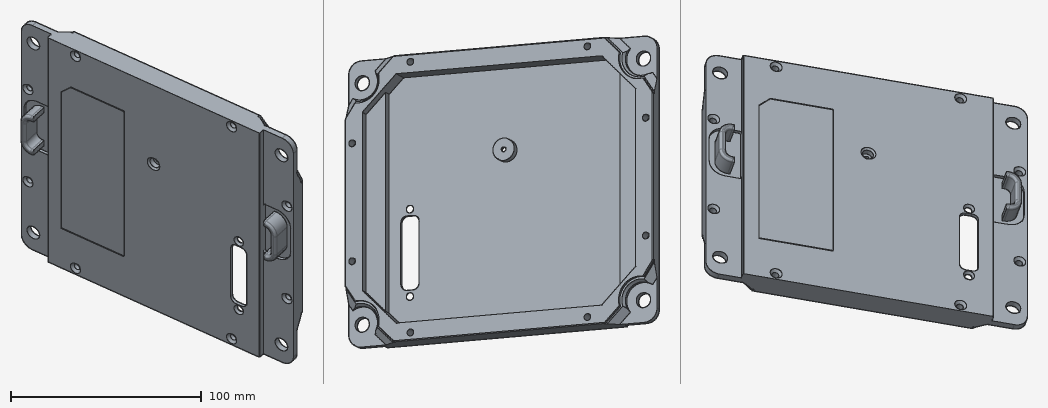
import cadquery as cq


width = 174.0
height = 153.8
corner_radius = 7.1
flange_depth = 9.0
plate_depth = 12.5
plate_width = 135.7
back_edge_chamfer = 0.5
plate_edge_chamfer = 0.5

plate_skin = 2.0
plate_wall = 1.7
flange_skin = 3.5
rim = 10.0
cavity_corner = 19.1

mount_diameter = 8.0
mount_x = 79.3
mount_z = 64.9
ledge_depth = flange_depth - flange_skin
lip_depth = 1.7
lip_step = 1.2
ledge_reach = (21.0, 23.5)
slope_reach = (26.6, 31.1)
scallop_radius = 9.4
scallop_top_radius = 10.6
scallop_cone_depth = 3.7

screw_diameter = 3.7
screw_head = 6.5
screw_head_depth = 1.5
edge_screw_x = 50.0
edge_screw_z = 72.7
flange_screw_x = 82.8
flange_screw_z = 31.7

slot_x = 54.5
slot_z = -27.3
slot_width = 10.3
slot_height = 40.0
slot_radius = 3.5
connector_screw_spacing = 47.0
connector_screw = 4.0
connector_screw_head = 6.0

center_hole_z = 23.0
center_hole = 2.6
center_bore = 6.0
center_bore_mouth = 8.0
center_bore_depth = 4.0
center_boss = 12.0
center_boss_height = 4.0

label_left = -59.2
label_bottom = -49.8
label_width = 40.2
label_height = 99.5
label_depth = 0.5
label_corner_cut = 6.1
label_radius = 0.7

handle_z = 9.5
handle_tip = 18.0
handle_outer_x = 81.8
handle_inner_x = 73.6
handle_height = 26.3
handle_thickness = 3.5
handle_radius = 7.0
handle_tip_fillet = 1.4
recess_outer_x = 85.3
recess_height = 33.2
recess_radius = 8.7
recess_inner_radius = 1.0
recess_depth = 1.7
recess_floor = flange_depth - recess_depth


def at_depth(depth):
    """Sketch plane at a depth: local x is X, local y is Z, and extruding goes towards -Y."""
    return cq.Workplane("XZ").workplane(offset=depth)


def cylinder(x, z, diameter, start, end):
    return at_depth(start).center(x, z).circle(diameter / 2).extrude(end - start)


def cone(x, z, start_radius, end_radius, start, end):
    sketch = at_depth(start).center(x, z).circle(start_radius)
    return sketch.workplane(offset=end - start).circle(end_radius).loft()


def four_ways(x, z):
    return [(side * x, end * z) for side in (-1, 1) for end in (-1, 1)]


def mirrored_four_ways(shape):
    pair = shape.union(shape.mirror("YZ"))
    return pair.union(pair.mirror("XY"))


def body():
    flange = at_depth(0).rect(width, height).extrude(flange_depth)
    flange = flange.edges("|Y").fillet(corner_radius)
    flange = flange.faces(">Y").edges("|Z").chamfer(back_edge_chamfer)
    plate = at_depth(lip_depth).rect(plate_width, height).extrude(plate_depth - lip_depth)
    plate = plate.faces("<Y").edges("|Z").chamfer(plate_edge_chamfer)
    return flange.union(plate)


def cavity():
    inner_height = height - 2 * rim
    wide = at_depth(0).rect(width - 2 * rim, inner_height).extrude(flange_depth - flange_skin)
    deep_width = plate_width - 2 * plate_wall
    deep = at_depth(0).rect(deep_width, inner_height).extrude(plate_depth - plate_skin)
    bounds = at_depth(0).rect(width - 2 * rim, inner_height).extrude(plate_depth)
    bounds = bounds.edges("|Y").chamfer(cavity_corner)
    return wide.union(deep).intersect(bounds)


def relief_outline(plane, reach):
    """Corner area bounded by a 45 degree line from the end edge and a steeper one from the side edge."""
    reach_x, reach_z = reach
    kink_x = 2 * (reach_z - reach_x)
    kink_z = reach_x - kink_x
    corner = plane.center(width / 2, height / 2)
    return corner.polyline([(0, 0), (-reach_x, 0), (-kink_x, -kink_z), (0, -reach_z)]).close()


def corner_relief():
    slope = relief_outline(at_depth(lip_depth), slope_reach).workplane(offset=ledge_depth - lip_depth)
    slope = slope.center(-width / 2, -height / 2)
    slope = relief_outline(slope, ledge_reach).loft(ruled=True)
    lip_reach = [reach + lip_step for reach in slope_reach]
    lip = relief_outline(at_depth(0), lip_reach).extrude(lip_depth)
    scallop = cone(mount_x, mount_z, scallop_top_radius, scallop_radius, lip_depth, scallop_cone_depth)
    seat = cylinder(mount_x, mount_z, 2 * scallop_radius, lip_depth, ledge_depth)
    lip_scallop = cylinder(mount_x, mount_z, 2 * (scallop_top_radius + lip_step), 0, lip_depth)
    return slope.union(lip).union(scallop).union(seat).union(lip_scallop)


def countersunk_hole(x, z, face_depth, diameter, head):
    hole = cylinder(x, z, diameter, 0, face_depth)
    sink = cone(x, z, diameter / 2, head / 2, face_depth - screw_head_depth, face_depth)
    return hole.union(sink)


def connector_opening():
    slot = at_depth(0).center(slot_x, slot_z).rect(slot_width, slot_height).extrude(plate_depth)
    slot = slot.edges("|Y").fillet(slot_radius)
    for end in (-1, 1):
        z = slot_z + end * connector_screw_spacing / 2
        slot = slot.union(countersunk_hole(slot_x, z, plate_depth, connector_screw, connector_screw_head))
    return slot


def center_hole_cut():
    hole = cylinder(0, center_hole_z, center_hole, 0, plate_depth)
    bore = cylinder(0, center_hole_z, center_bore, plate_depth - center_bore_depth, plate_depth)
    mouth_depth = (center_bore_mouth - center_bore) / 2
    mouth_start = plate_depth - mouth_depth
    mouth = cone(0, center_hole_z, center_bore / 2, center_bore_mouth / 2, mouth_start, plate_depth)
    return hole.union(bore).union(mouth)


def label_recess():
    sketch = at_depth(plate_depth - label_depth).center(label_left, label_bottom)
    block = sketch.rect(label_width, label_height, centered=False).extrude(label_depth)
    block = block.edges("|Y and <X and >Z").chamfer(label_corner_cut)
    return block.edges("|Y and >X").fillet(label_radius)


def rounded_left_end(outer_x, inner_x, length, radius, start, end):
    """Block from -outer_x to -inner_x, centred on the handle, with its outer corners rounded."""
    middle = -(outer_x + inner_x) / 2
    block = at_depth(start).center(middle, handle_z).rect(outer_x - inner_x, length).extrude(end - start)
    return block.edges("|Y and <X").fillet(radius)


def handle():
    outer = rounded_left_end(
        handle_outer_x, handle_inner_x, handle_height, handle_radius, recess_floor, handle_tip
    )
    inner = rounded_left_end(
        handle_outer_x - handle_thickness,
        handle_inner_x,
        handle_height - 2 * handle_thickness,
        handle_radius - handle_thickness,
        recess_floor,
        handle_tip,
    )
    return outer.cut(inner).faces("<Y").edges().fillet(handle_tip_fillet)


def handle_recess():
    pocket = rounded_left_end(
        recess_outer_x, plate_width / 2, recess_height, recess_radius, recess_floor, flange_depth
    )
    return pocket.edges("|Y and >X").fillet(recess_inner_radius)


result = body().cut(cavity()).cut(mirrored_four_ways(corner_relief()))

skin_back = plate_depth - plate_skin
result = result.union(cylinder(0, center_hole_z, center_boss, skin_back - center_boss_height, skin_back))
result = result.cut(center_hole_cut())

result = result.cut(label_recess()).cut(connector_opening())
for x, z in four_ways(mount_x, mount_z):
    result = result.cut(cylinder(x, z, mount_diameter, 0, flange_depth))
for x, z in four_ways(edge_screw_x, edge_screw_z):
    result = result.cut(countersunk_hole(x, z, plate_depth, screw_diameter, screw_head))
for x, z in four_ways(flange_screw_x, flange_screw_z):
    result = result.cut(countersunk_hole(x, z, flange_depth, screw_diameter, screw_head))

recess = handle_recess()
grip = handle()
result = result.cut(recess).cut(recess.mirror("YZ"))
result = result.union(grip).union(grip.mirror("YZ")).solids()